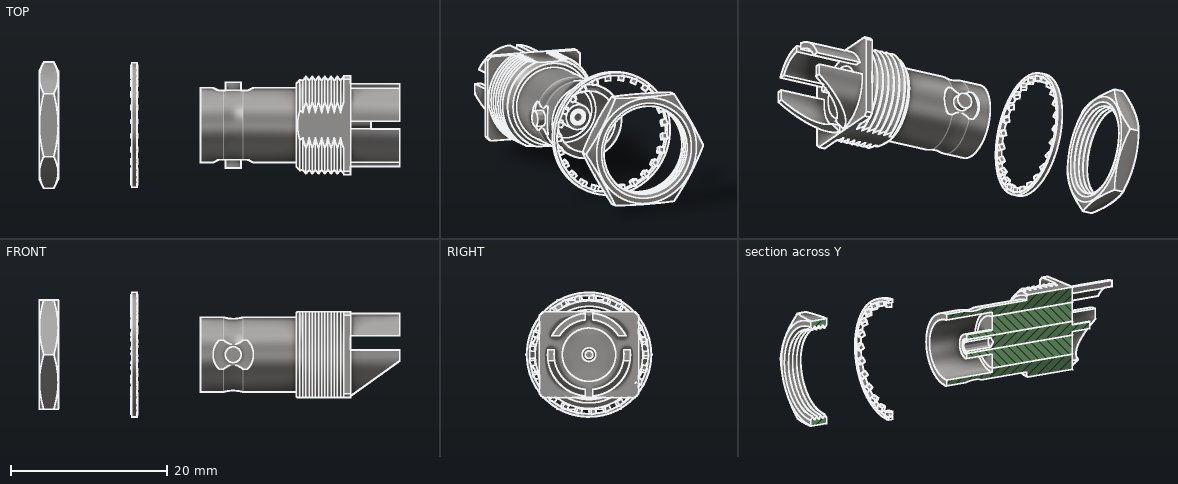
import cadquery as cq

NUT_THICKNESS = 2.5
NUT_ACROSS_CORNERS = 16.2
NUT_FACE_RADIUS = 6.9
NUT_CHAMFER_LENGTH = 0.6
NUT_THREAD_ROOT_RADIUS = 6.2
NUT_THREAD_CREST_RADIUS = 5.75
NUT_THREAD_COUNT = 4

WASHER_CENTRE_X = 12.2
WASHER_THICKNESS = 0.7
WASHER_OUTER_RADIUS = 8.0
WASHER_INNER_RADIUS = 7.6
TOOTH_COUNT = 25
TOOTH_TIP_RADIUS = 7.0
TOOTH_WIDTH = 0.7
TOOTH_TWIST = -25.0
TOOTH_ROOT_OVERLAP = 0.1

MOUTH_X = 20.65
THREAD_START_X = 32.9
FLANGE_FRONT_X = 39.0
FLANGE_THICKNESS = 0.9
FLANGE_BACK_X = FLANGE_FRONT_X + FLANGE_THICKNESS
TAIL_END_X = 46.2

BARREL_RADIUS = 4.8
WAIST_CENTRE_X = 24.85
WAIST_LENGTH = 2.5
WAIST_RADIUS = 4.6
LUG_RADIUS = 1.0
LUG_TIP_Y = 5.5
LUG_SEAT_RADIUS = 2.6
LUG_SEAT_Y = 4.45

THREAD_PITCH = 0.805
THREAD_COUNT = 6
THREAD_CREST_RADIUS = 6.25
THREAD_ROOT_RADIUS = 5.75
THREAD_LEAD_RADIUS = 5.3
THREAD_LEAD_LENGTH = 0.5
FLANGE_WIDTH = 12.7
FLANGE_HEIGHT = 11.0
FLANGE_CORNER_CHAMFER = 0.45

TAIL_OUTER_RADIUS = 5.3
TAIL_INNER_RADIUS = 4.5
KEY_SLOT_WIDTH = 0.95
BOARD_SLOT_BOTTOM_Z = 0.6
BOARD_SLOT_TOP_Z = 2.4
TAIL_TIP_BOTTOM_Z = -0.8

BORE_RADIUS = 3.97
BORE_DEPTH = 6.95
BORE_FLOOR_X = MOUTH_X + BORE_DEPTH
INSULATOR_RADIUS = 3.4
NOSE_RADIUS = 1.6
NOSE_DEPTH = 3.05
NOSE_TIP_X = MOUTH_X + NOSE_DEPTH
CONTACT_RADIUS = 0.9
TIP_CHAMFER = 0.15
SOCKET_RADIUS = 0.6
SOCKET_DEPTH = 3.7
SOCKET_CONE_DEPTH = 0.35
PIN_RADIUS = 0.485
PIN_END_X = 42.5


def cylinder(start_x, end_x, radius):
    """Solid cylinder on the X axis."""
    return cq.Workplane("YZ", origin=(start_x, 0, 0)).circle(radius).extrude(end_x - start_x)


def turned(points):
    """Solid of revolution about X, closed onto the axis, from (x, radius) points."""
    first_x = points[0][0]
    last_x = points[-1][0]
    outline = [(first_x, 0), *points, (last_x, 0)]
    return cq.Workplane("XY").polyline(outline).close().revolve(360, (0, 0), (1, 0))


def ridges(start_x, pitch, count, valley_radius, peak_radius):
    """Zigzag (x, radius) points: `count` peaks, starting and ending in a valley."""
    points = [(start_x, valley_radius)]
    for index in range(count):
        points.append((start_x + (index + 0.5) * pitch, peak_radius))
        points.append((start_x + (index + 1) * pitch, valley_radius))
    return points


def make_nut():
    corner_radius = NUT_ACROSS_CORNERS / 2
    hexagon = cq.Workplane("YZ").polygon(6, NUT_ACROSS_CORNERS).extrude(NUT_THICKNESS)
    chamfer_envelope = turned([
        (0, NUT_FACE_RADIUS),
        (NUT_CHAMFER_LENGTH, corner_radius),
        (NUT_THICKNESS - NUT_CHAMFER_LENGTH, corner_radius),
        (NUT_THICKNESS, NUT_FACE_RADIUS),
    ])
    pitch = NUT_THICKNESS / NUT_THREAD_COUNT
    threaded_hole = turned(
        ridges(0, pitch, NUT_THREAD_COUNT, NUT_THREAD_ROOT_RADIUS, NUT_THREAD_CREST_RADIUS)
    )
    return hexagon.intersect(chamfer_envelope).cut(threaded_hole)


def make_washer():
    back_x = WASHER_CENTRE_X - WASHER_THICKNESS / 2
    front_x = WASHER_CENTRE_X + WASHER_THICKNESS / 2
    washer = cylinder(back_x, front_x, WASHER_OUTER_RADIUS).cut(
        cylinder(back_x, front_x, WASHER_INNER_RADIUS)
    )
    tooth_root = WASHER_INNER_RADIUS + TOOTH_ROOT_OVERLAP
    tooth_length = tooth_root - TOOTH_TIP_RADIUS
    first_tooth = (
        cq.Workplane("XY")
        .box(WASHER_THICKNESS, tooth_length, TOOTH_WIDTH)
        .rotate((0, 0, 0), (0, 1, 0), TOOTH_TWIST)
        .translate((WASHER_CENTRE_X, TOOTH_TIP_RADIUS + tooth_length / 2, 0))
    )
    for index in range(TOOTH_COUNT):
        angle = index * 360 / TOOTH_COUNT
        washer = washer.union(first_tooth.rotate((0, 0, 0), (1, 0, 0), angle))
    return washer


def make_barrel():
    """Waisted barrel with a flat-floored round seat and a lug on each side."""
    waist_start_x = WAIST_CENTRE_X - WAIST_LENGTH / 2
    waist_end_x = WAIST_CENTRE_X + WAIST_LENGTH / 2
    barrel = (
        cq.Workplane("XY")
        .moveTo(MOUTH_X, 0)
        .lineTo(MOUTH_X, BARREL_RADIUS)
        .lineTo(waist_start_x, BARREL_RADIUS)
        .threePointArc((WAIST_CENTRE_X, WAIST_RADIUS), (waist_end_x, BARREL_RADIUS))
        .lineTo(FLANGE_FRONT_X, BARREL_RADIUS)
        .lineTo(FLANGE_FRONT_X, 0)
        .close()
        .revolve(360, (0, 0), (1, 0))
    )
    for side in (-1, 1):
        seat_plane = cq.Workplane("XZ", origin=(WAIST_CENTRE_X, side * LUG_SEAT_Y, 0))
        barrel = barrel.cut(seat_plane.circle(LUG_SEAT_RADIUS).extrude(-side * BARREL_RADIUS))
    lugs = (
        cq.Workplane("XZ", origin=(WAIST_CENTRE_X, 0, 0))
        .circle(LUG_RADIUS)
        .extrude(LUG_TIP_Y, both=True)
    )
    return barrel.union(lugs)


def make_thread_and_flange():
    """External thread milled flat above and below, level with the flange behind it."""
    last_valley_x = FLANGE_FRONT_X - THREAD_PITCH / 2
    first_valley_x = last_valley_x - THREAD_COUNT * THREAD_PITCH
    thread = turned([
        (THREAD_START_X, THREAD_LEAD_RADIUS),
        (THREAD_START_X + THREAD_LEAD_LENGTH, THREAD_LEAD_RADIUS + THREAD_LEAD_LENGTH),
        *ridges(first_valley_x, THREAD_PITCH, THREAD_COUNT, THREAD_ROOT_RADIUS, THREAD_CREST_RADIUS),
        (FLANGE_FRONT_X, THREAD_CREST_RADIUS),
    ])
    thread_length = FLANGE_FRONT_X - THREAD_START_X
    between_flats = (
        cq.Workplane("YZ", origin=(THREAD_START_X, 0, 0))
        .rect(FLANGE_WIDTH, FLANGE_HEIGHT)
        .extrude(thread_length)
    )
    flange = (
        cq.Workplane("YZ", origin=(FLANGE_FRONT_X, 0, 0))
        .rect(FLANGE_WIDTH, FLANGE_HEIGHT)
        .extrude(FLANGE_THICKNESS)
        .edges("|X")
        .chamfer(FLANGE_CORNER_CHAMFER)
    )
    return thread.intersect(between_flats).union(flange)


def make_tail():
    """Tube split by two slots, with its underside cut off on a slant."""
    tail_length = TAIL_END_X - FLANGE_BACK_X
    tail_middle_x = (TAIL_END_X + FLANGE_BACK_X) / 2
    tail_width = 2 * TAIL_OUTER_RADIUS
    tail = cylinder(FLANGE_BACK_X, TAIL_END_X, TAIL_OUTER_RADIUS).cut(
        cylinder(FLANGE_BACK_X, TAIL_END_X, TAIL_INNER_RADIUS)
    )
    key_slot = (
        cq.Workplane("XY")
        .box(tail_length, KEY_SLOT_WIDTH, tail_width)
        .translate((tail_middle_x, 0, 0))
    )
    board_slot = (
        cq.Workplane("XY")
        .box(tail_length, tail_width, BOARD_SLOT_TOP_Z - BOARD_SLOT_BOTTOM_Z)
        .translate((tail_middle_x, 0, (BOARD_SLOT_TOP_Z + BOARD_SLOT_BOTTOM_Z) / 2))
    )
    slanted_cut = (
        cq.Workplane("XZ")
        .polyline([
            (FLANGE_BACK_X, -TAIL_OUTER_RADIUS),
            (TAIL_END_X, TAIL_TIP_BOTTOM_Z),
            (TAIL_END_X, -TAIL_OUTER_RADIUS),
        ])
        .close()
        .extrude(TAIL_OUTER_RADIUS, both=True)
    )
    return tail.cut(key_slot).cut(board_slot).cut(slanted_cut)


def make_housing():
    bore = cylinder(MOUTH_X, BORE_FLOOR_X, BORE_RADIUS)
    insulator_hole = cylinder(BORE_FLOOR_X, FLANGE_BACK_X, INSULATOR_RADIUS)
    housing = make_barrel().union(make_thread_and_flange()).union(make_tail())
    return housing.cut(bore).cut(insulator_hole)


def make_insulator():
    """Plug level with the bore floor, with a long nose whose hole is countersunk at the tip."""
    plug = cylinder(BORE_FLOOR_X, FLANGE_BACK_X, INSULATOR_RADIUS)
    nose = cylinder(NOSE_TIP_X, BORE_FLOOR_X, NOSE_RADIUS)
    contact_hole = turned([
        (NOSE_TIP_X, CONTACT_RADIUS + TIP_CHAMFER),
        (NOSE_TIP_X + TIP_CHAMFER, CONTACT_RADIUS),
        (FLANGE_BACK_X, CONTACT_RADIUS),
    ])
    return plug.union(nose).cut(contact_hole)


def make_contact():
    """Socket with a chamfered tip level with the nose, and a solder pin behind the flange."""
    contact = turned([
        (NOSE_TIP_X, CONTACT_RADIUS - TIP_CHAMFER),
        (NOSE_TIP_X + TIP_CHAMFER, CONTACT_RADIUS),
        (FLANGE_BACK_X, CONTACT_RADIUS),
        (FLANGE_BACK_X, PIN_RADIUS),
        (PIN_END_X, PIN_RADIUS),
    ])
    socket_floor_x = NOSE_TIP_X + SOCKET_DEPTH
    socket = cylinder(NOSE_TIP_X, socket_floor_x, SOCKET_RADIUS)
    socket_cone = cq.Solid.makeCone(
        SOCKET_RADIUS, 0, SOCKET_CONE_DEPTH, cq.Vector(socket_floor_x, 0, 0), cq.Vector(1, 0, 0)
    )
    return contact.cut(socket).cut(cq.Workplane(socket_cone))


nut = make_nut()
washer = make_washer()
housing = make_housing()
insulator = make_insulator()
contact = make_contact()

result = cq.Compound.makeCompound([
    nut.val(),
    washer.val(),
    housing.val(),
    insulator.val(),
    contact.val(),
])